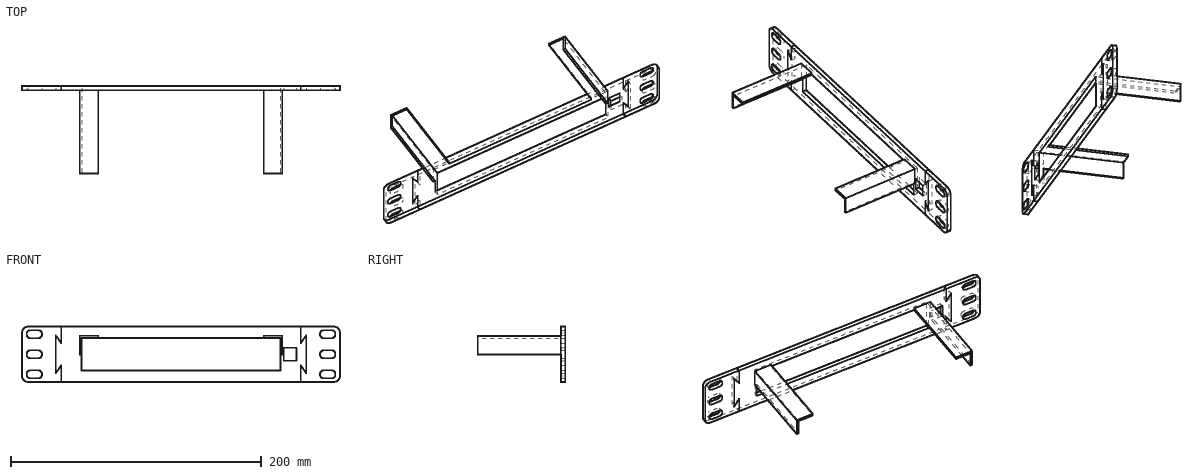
import cadquery as cq

LENGTH = 254.0
HEIGHT = 44.5
DEPTH = 70.0
PLATE_THICKNESS = 3.5

SEAM_X = 95.5
DOVETAIL_DEPTH = 4.5
DOVETAIL_NECK = 17.3
DOVETAIL_TIP = 30.5
CORNER_RADIUS = 5.0

SLOT_COUNT = 3
SLOT_LENGTH = 12.0
SLOT_HEIGHT = 6.0
SLOT_CORNER_RADIUS = 2.5
SLOT_PITCH = 16.0
SLOT_EDGE_DISTANCE = 10.0

WINDOW_LENGTH = 158.5
WINDOW_HEIGHT = 26.0
SQUARE_HOLE = 10.2
SQUARE_HOLE_X = 87.0

BRACKET_LEG = 15.0
BRACKET_WALL = 1.8
BRACKET_TOP_Z = WINDOW_HEIGHT / 2 + BRACKET_WALL
BRACKET_LENGTH = DEPTH - PLATE_THICKNESS
BRACKET_OUTER_X = WINDOW_LENGTH / 2 + BRACKET_WALL


def front_plane():
    """Sketch plane at Y = 0: local x is X, local y is Z, extruding toward -Y."""
    return cq.Workplane("XZ")


def plate(sketch):
    """Extrude a front-plane sketch back through the plate thickness."""
    return sketch.extrude(-PLATE_THICKNESS)


def dovetail(side):
    """Tail on one end of the panel (side = -1 left, +1 right), widening outward."""
    tip_x = side * (SEAM_X + DOVETAIL_DEPTH)
    seam_x = side * SEAM_X
    outline = [
        (seam_x, -DOVETAIL_NECK / 2),
        (tip_x, -DOVETAIL_TIP / 2),
        (tip_x, DOVETAIL_TIP / 2),
        (seam_x, DOVETAIL_NECK / 2),
    ]
    return plate(front_plane().polyline(outline).close())


def bracket(side):
    """L-shaped arm: a vertical leg beside the window and a horizontal leg on top."""
    outer_x = side * BRACKET_OUTER_X
    outline = [
        (outer_x, BRACKET_TOP_Z),
        (outer_x - side * BRACKET_LEG, BRACKET_TOP_Z),
        (outer_x - side * BRACKET_LEG, BRACKET_TOP_Z - BRACKET_WALL),
        (outer_x - side * BRACKET_WALL, BRACKET_TOP_Z - BRACKET_WALL),
        (outer_x - side * BRACKET_WALL, BRACKET_TOP_Z - BRACKET_LEG),
        (outer_x, BRACKET_TOP_Z - BRACKET_LEG),
    ]
    return front_plane().polyline(outline).close().extrude(BRACKET_LENGTH)


def make_panel():
    """Centre panel with its window, square hole, dovetails and brackets."""
    panel = plate(front_plane().rect(2 * SEAM_X, HEIGHT))
    panel = panel.cut(plate(front_plane().rect(WINDOW_LENGTH, WINDOW_HEIGHT)))
    panel = panel.cut(plate(front_plane().center(SQUARE_HOLE_X, 0).rect(SQUARE_HOLE, SQUARE_HOLE)))
    for side in (-1, 1):
        panel = panel.union(dovetail(side)).union(bracket(side))
    return panel


def make_ear(side):
    """Rack ear with rounded outer corners, a column of rounded slots and a socket for the dovetail."""
    ear_length = LENGTH / 2 - SEAM_X
    ear = plate(front_plane().center(side * (SEAM_X + ear_length / 2), 0).rect(ear_length, HEIGHT))
    outer_corners = "|Y and >X" if side > 0 else "|Y and <X"
    ear = ear.edges(outer_corners).fillet(CORNER_RADIUS)
    slot_x = side * (LENGTH / 2 - SLOT_EDGE_DISTANCE)
    slot_column = front_plane().center(slot_x, 0).rarray(2.5, SLOT_PITCH, 1, SLOT_COUNT)
    slots = plate(slot_column.rect(SLOT_LENGTH, SLOT_HEIGHT))
    slots = slots.edges("|Y").fillet(SLOT_CORNER_RADIUS)
    return ear.cut(slots).cut(dovetail(side))


panel = make_panel()
ears = [make_ear(side) for side in (-1, 1)]

result = cq.Compound.makeCompound([panel.val(), *[ear.val() for ear in ears]])